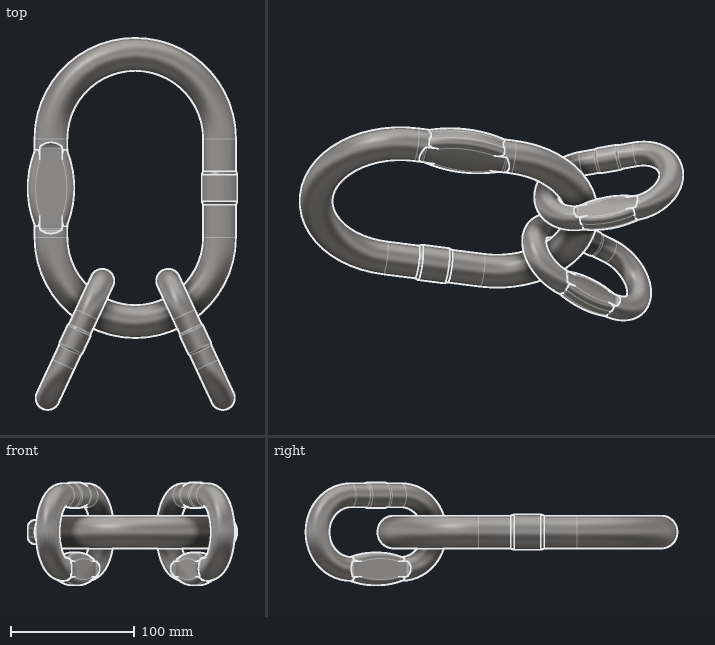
import cadquery as cq
import math

MASTER_LINK = dict(
    bar_diameter=27.0,
    inner_width=110.0,
    inner_length=190.0,
    collar_diameter=29.0,
    collar_length=27.2,
    collar_taper=2.7,
    pad_width=38.0,
    pad_half_height=10.0,
    pad_half_length=31.0,
    pad_edge_radius=6.3,
    pad_meets_bar=29.5,
    flat_half_length=33.5,
    flat_end_radius=2.0,
)

SUB_LINK = dict(
    bar_diameter=19.5,
    inner_width=40.2,
    inner_length=85.2,
    collar_diameter=21.0,
    collar_length=19.5,
    collar_taper=1.95,
    pad_width=27.0,
    pad_half_height=7.5,
    pad_half_length=22.7,
    pad_edge_radius=4.8,
    pad_meets_bar=21.5,
    flat_half_length=24.5,
    flat_end_radius=1.5,
)

SUB_LINK_OFFSET_X = 49.0
SUB_LINK_CENTRE_Y = -123.0
SUB_LINK_LEAN = 25.0


def bend_radius(link):
    """Radius of the bar centreline in the two half-round ends."""
    return (link["inner_width"] + link["bar_diameter"]) / 2


def make_bar(link):
    """Round bar swept around a closed oval: two straight legs and two half-round ends."""
    radius = bend_radius(link)
    half_leg = (link["inner_length"] - link["inner_width"]) / 2
    centreline = (
        cq.Workplane("XY")
        .moveTo(radius, -half_leg)
        .lineTo(radius, half_leg)
        .threePointArc((0, half_leg + radius), (-radius, half_leg))
        .lineTo(-radius, -half_leg)
        .threePointArc((0, -half_leg - radius), (radius, -half_leg))
        .close()
    )
    section = cq.Workplane("XZ", origin=(radius, -half_leg, 0)).circle(link["bar_diameter"] / 2)
    return section.sweep(centreline)


def make_collar(link):
    """Weld collar with tapered ends, around the middle of the +X leg."""
    bar_radius = link["bar_diameter"] / 2
    collar_radius = link["collar_diameter"] / 2
    half_length = link["collar_length"] / 2
    half_crest = half_length - link["collar_taper"]
    profile = [
        (0, -half_length),
        (bar_radius, -half_length),
        (collar_radius, -half_crest),
        (collar_radius, half_crest),
        (bar_radius, half_length),
        (0, half_length),
    ]
    collar = cq.Workplane("XY").polyline(profile).close().revolve(360, (0, 0, 0), (0, 1, 0))
    return collar.translate((bend_radius(link), 0, 0))


def make_flat_cutters(link):
    """Pair of 45 degree sided trapezoids, rounded at the floor, that flatten both faces of the -X leg."""
    bar_radius = link["bar_diameter"] / 2
    height = link["pad_half_height"]
    half_floor = link["flat_half_length"]
    half_mouth = half_floor + bar_radius - height
    profile = [
        (-half_floor, height),
        (half_floor, height),
        (half_mouth, bar_radius),
        (-half_mouth, bar_radius),
    ]
    upper = cq.Workplane("YZ").polyline(profile).close().extrude(bar_radius, both=True)
    upper = upper.edges("|X and <Z").fillet(link["flat_end_radius"])
    upper = upper.translate((-bend_radius(link), 0, 0))
    return upper.union(upper.mirror("XY"))


def make_pad(link):
    """Forged pad on the -X leg: bowed sides, flat faces and rounded long edges."""
    bar_radius = link["bar_diameter"] / 2
    half_width = link["pad_width"] / 2
    half_length = link["pad_half_length"]
    rise = half_width - bar_radius
    bow_radius = (link["pad_meets_bar"] ** 2 + rise**2) / (2 * rise)
    end_half_width = half_width - bow_radius + math.sqrt(bow_radius**2 - half_length**2)
    pad = (
        cq.Workplane("XY")
        .moveTo(-end_half_width, -half_length)
        .lineTo(end_half_width, -half_length)
        .threePointArc((half_width, 0), (end_half_width, half_length))
        .lineTo(-end_half_width, half_length)
        .threePointArc((-half_width, 0), (-end_half_width, -half_length))
        .close()
        .extrude(link["pad_half_height"], both=True)
    )
    pad = pad.faces("<X or >X").edges("<Z or >Z").fillet(link["pad_edge_radius"])
    return pad.translate((-bend_radius(link), 0, 0))


def make_link(link):
    """Complete link in the XY plane, collar on the +X leg and pad on the -X leg."""
    flattened_bar = make_bar(link).cut(make_flat_cutters(link))
    return flattened_bar.union(make_collar(link)).union(make_pad(link)).solids()


def make_sub_link(side):
    """Sub-link stood upright with its pad at the bottom; side is -1 for -X, +1 for +X."""
    upright = make_link(SUB_LINK).rotate((0, 0, 0), (0, 1, 0), -90)
    leaning = upright.rotate((0, 0, 0), (0, 0, 1), side * SUB_LINK_LEAN)
    return leaning.translate((side * SUB_LINK_OFFSET_X, SUB_LINK_CENTRE_Y, 0)).solids()


master_link = make_link(MASTER_LINK)
sub_links = [make_sub_link(side) for side in (-1, 1)]

result = cq.Compound.makeCompound([master_link.val(), *[sub_link.val() for sub_link in sub_links]])